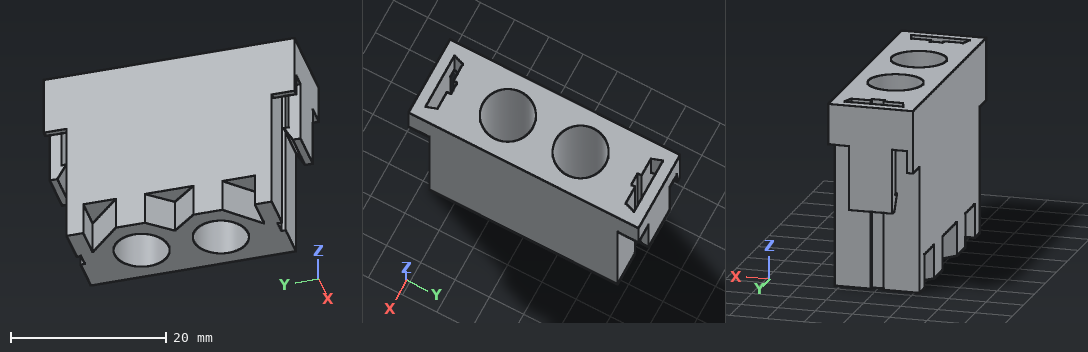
import cadquery as cq

width = 11.4
length = 33.6
height = 25.4
half_width = width / 2
half_length = length / 2

head_depth = 5.45
head_overhang = 3.05
lip_depth = 8.4
lip_thickness = 0.8
head_bottom = height - head_depth
body_end = half_length - head_overhang

hole_diameter = 7.22
hole_spacing = 10.62

latch_width = 5.8
latch_thickness = 1.58
latch_bottom = 11.35
hook_shelf = 13.45
hook_reach = 2.25
latch_tip_thickness = 1.05

slot_outer_width = 7.93
slot_inner_width = 6.92
groove_width = 1.75
groove_depth = 0.57

notch_height = 4.57
side_notch_near = 7.12
side_notch_far = 11.5
side_notch_depth = side_notch_far - side_notch_near
middle_notch_half_width = 3.25
middle_notch_depth = 2.72


def box(x_range, y_range, z_range):
    """Box spanning the given (low, high) ranges."""
    sizes = [high - low for low, high in (x_range, y_range, z_range)]
    return cq.Workplane("XY").box(*sizes, centered=False).translate((x_range[0], y_range[0], z_range[0]))


def make_block():
    """Body with the wider head and its lip."""
    full_width = (-half_width, half_width)
    full_length = (-half_length, half_length)
    body = box(full_width, (-body_end, body_end), (0, height))
    head = box(full_width, full_length, (head_bottom, height))
    lip = box((-half_width, -half_width + lip_thickness), full_length, (height - lip_depth, height))
    return body.union(head).union(lip)


def make_latch():
    """Latch arm at the +Y end, with its hook pointing inward."""
    outline = [
        (half_length, head_bottom),
        (half_length, latch_bottom),
        (half_length - latch_tip_thickness, latch_bottom),
        (half_length - hook_reach, hook_shelf),
        (half_length - latch_thickness, hook_shelf),
        (half_length - latch_thickness, head_bottom),
    ]
    return cq.Workplane("YZ").polyline(outline).close().extrude(latch_width / 2, both=True)


def make_slot():
    """Tapered slot through the head and key groove down the +Y end of the body."""
    slot_outer = half_length - latch_thickness
    outline = [
        (-slot_outer_width / 2, slot_outer),
        (slot_outer_width / 2, slot_outer),
        (slot_inner_width / 2, body_end),
        (-slot_inner_width / 2, body_end),
    ]
    slot = cq.Workplane("XY").workplane(offset=head_bottom).polyline(outline).close().extrude(head_depth)
    groove = box(
        (-groove_width / 2, groove_width / 2),
        (body_end - groove_depth, body_end),
        (0, height),
    )
    return slot.union(groove)


def make_notch(start, apex, end, depth):
    """Triangular notch in the -X face, deepest at Y = apex."""
    outline = [(-half_width, start), (-half_width + depth, apex), (-half_width, end)]
    return cq.Workplane("XY").polyline(outline).close().extrude(notch_height)


latch = make_latch()
slot = make_slot()
side_notch = make_notch(side_notch_near, side_notch_far, side_notch_far, side_notch_depth)
middle_notch = make_notch(-middle_notch_half_width, 0, middle_notch_half_width, middle_notch_depth)
holes = (
    cq.Workplane("XY")
    .pushPoints([(0, -hole_spacing / 2), (0, hole_spacing / 2)])
    .circle(hole_diameter / 2)
    .extrude(height)
)

result = make_block().union(latch).union(latch.mirror("XZ"))

for cutter in (slot, side_notch):
    result = result.cut(cutter).cut(cutter.mirror("XZ"))
result = result.cut(middle_notch).cut(holes)